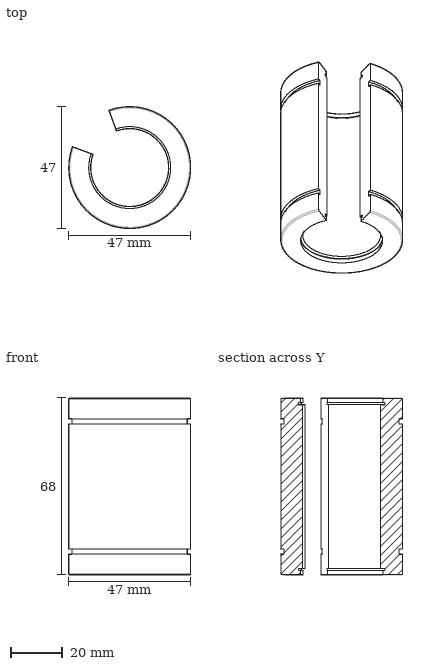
import cadquery as cq
import math

length = 68.0
outer_diameter = 47.0
outer_radius = outer_diameter / 2
bore_radius = 14.95
edge_rounding = 0.5

ring_groove_radius = 22.25
ring_groove_offset = 7.95
ring_groove_width = 2.0

mouth_radius = 15.8
seal_groove_radius = 16.5
seal_groove_offset = 1.7
seal_groove_width = 0.75

opening_angle = 50.0
opening_direction = 135.0


def disc(radius, bottom, height):
    """Solid cylinder about Z, starting at the given height."""
    return cq.Workplane("XY").workplane(offset=bottom).circle(radius).extrude(height)


def from_end(radius, offset, width, at_top):
    """Disc whose near face lies the given offset inside one end of the sleeve."""
    bottom = length - offset - width if at_top else offset
    return disc(radius, bottom, width)


def opening_wedge():
    """Wedge with radial sides, from the axis to beyond the outer surface."""
    reach = 2 * outer_radius
    half_angle = opening_angle / 2
    corners = [(0, 0)]
    for angle in (opening_direction - half_angle, opening_direction + half_angle):
        radians = math.radians(angle)
        corners.append((reach * math.cos(radians), reach * math.sin(radians)))
    return cq.Workplane("XY").polyline(corners).close().extrude(length)


sleeve = disc(outer_radius, 0, length).faces("<Z or >Z").fillet(edge_rounding)
sleeve = sleeve.cut(disc(bore_radius, 0, length))

for at_top in (False, True):
    ring_space = from_end(outer_radius, ring_groove_offset, ring_groove_width, at_top)
    ring_core = from_end(ring_groove_radius, ring_groove_offset, ring_groove_width, at_top)
    sleeve = sleeve.cut(ring_space.cut(ring_core))
    sleeve = sleeve.cut(from_end(mouth_radius, 0, seal_groove_offset, at_top))
    sleeve = sleeve.cut(from_end(seal_groove_radius, seal_groove_offset, seal_groove_width, at_top))

result = sleeve.cut(opening_wedge())